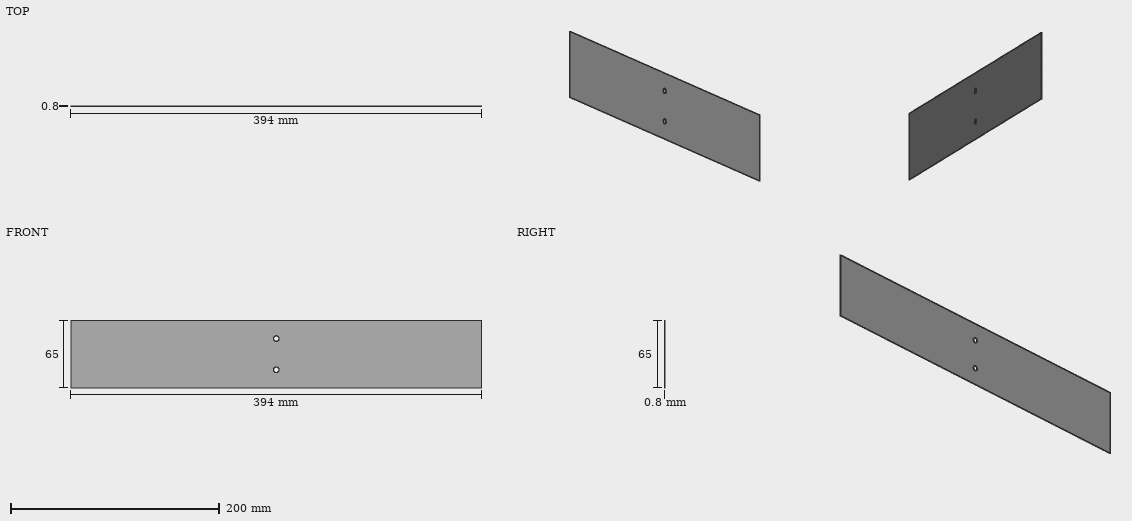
import cadquery as cq

length = 394.0
thickness = 0.8
height = 65.0

hole_diameter = 5.0
hole_spacing = 30.0

plate = cq.Workplane("XY").box(length, thickness, height)

result = (
    plate.faces("<Y")
    .workplane(centerOption="CenterOfBoundBox")
    .pushPoints([(0, -hole_spacing / 2), (0, hole_spacing / 2)])
    .hole(hole_diameter)
)